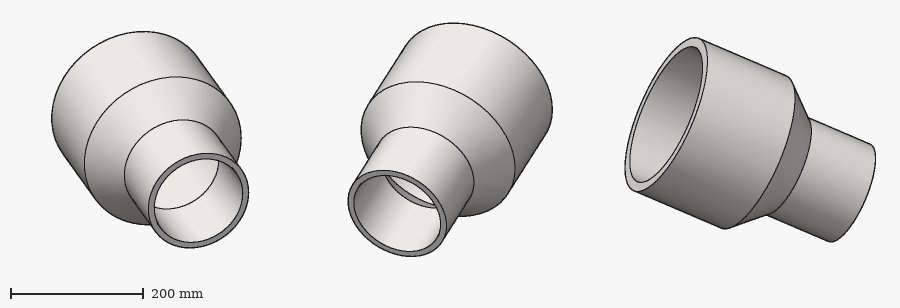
import cadquery as cq

total_length = 318.0
large_length = 152.0
small_length = 111.5

large_outer_diameter = 250.0
large_bore_diameter = 220.5
small_outer_diameter = 160.0
small_bore_diameter = 141.0

large_end = -total_length / 2
small_end = total_length / 2
cone_start = large_end + large_length
cone_end = small_end - small_length


def reducer_body(large_diameter, small_diameter):
    """Solid of revolution about X: large cylinder, cone, small cylinder."""
    large_radius = large_diameter / 2
    small_radius = small_diameter / 2
    half_profile = (
        cq.Workplane("XY")
        .moveTo(large_end, 0)
        .lineTo(large_end, large_radius)
        .lineTo(cone_start, large_radius)
        .lineTo(cone_end, small_radius)
        .lineTo(small_end, small_radius)
        .lineTo(small_end, 0)
        .close()
    )
    return half_profile.revolve(360, (0, 0, 0), (1, 0, 0))


outer = reducer_body(large_outer_diameter, small_outer_diameter)
bore = reducer_body(large_bore_diameter, small_bore_diameter)
result = outer.cut(bore)